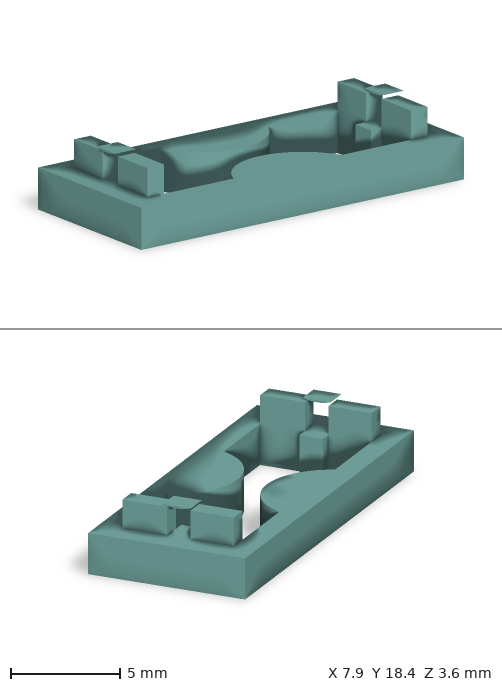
import cadquery as cq

frame_width = 7.9
frame_length = 18.4
frame_height = 2.0

left_wall = 1.12
right_wall = 1.15
end_wall = 2.17

axis_x = -0.05
lobe_radius = 3.28
lobe_spacing = 8.02

post_depth = 0.95
post_height = 1.4
post_gap = 1.18

tab_length = 0.59

cap_width = 1.42
cap_length = 1.2
cap_thickness = 0.11
total_height = 3.6

window_left = -frame_width / 2 + left_wall
window_right = frame_width / 2 - right_wall
window_end = frame_length / 2 - end_wall


def box(x_min, x_max, y_min, y_max, z_min, z_max):
    """Box given by its limits along each axis."""
    return cq.Workplane("XY").box(
        x_max - x_min, y_max - y_min, z_max - z_min, centered=False
    ).translate((x_min, y_min, z_min))


def make_plate():
    return box(
        -frame_width / 2, frame_width / 2, -frame_length / 2, frame_length / 2, 0, frame_height
    )


def make_lobes():
    """Two discs, trimmed to the outside of the frame."""
    discs = (
        cq.Workplane("XY")
        .pushPoints([(axis_x - lobe_spacing / 2, 0), (axis_x + lobe_spacing / 2, 0)])
        .circle(lobe_radius)
        .extrude(frame_height)
    )
    return discs.intersect(make_plate())


def make_end_features():
    """Pair of posts and the tab between them, at the +Y end."""
    gap_left = axis_x - post_gap / 2
    gap_right = axis_x + post_gap / 2
    post_outer = window_end + post_depth
    post_top = frame_height + post_height
    left_post = box(window_left, gap_left, window_end, post_outer, frame_height, post_top)
    right_post = box(gap_right, window_right, window_end, post_outer, frame_height, post_top)
    tab = box(gap_left, gap_right, window_end - tab_length, window_end, 0, frame_height)
    return [left_post, right_post, tab]


def make_frame():
    window = box(window_left, window_right, -window_end, window_end, 0, frame_height)
    frame = make_plate().cut(window).union(make_lobes())
    for feature in make_end_features():
        frame = frame.union(feature).union(feature.mirror("XZ"))
    return frame


def make_cap(y_min):
    """Bar along Y with a flat top and a rounded underside."""
    return (
        cq.Workplane("XZ")
        .moveTo(axis_x - cap_width / 2, total_height)
        .threePointArc(
            (axis_x, total_height - cap_thickness), (axis_x + cap_width / 2, total_height)
        )
        .close()
        .extrude(-cap_length)
        .translate((0, y_min, 0))
    )


frame = make_frame()
caps = [make_cap(y_min) for y_min in (-window_end - cap_length, window_end)]

result = cq.Compound.makeCompound([frame.val(), *[cap.val() for cap in caps]])